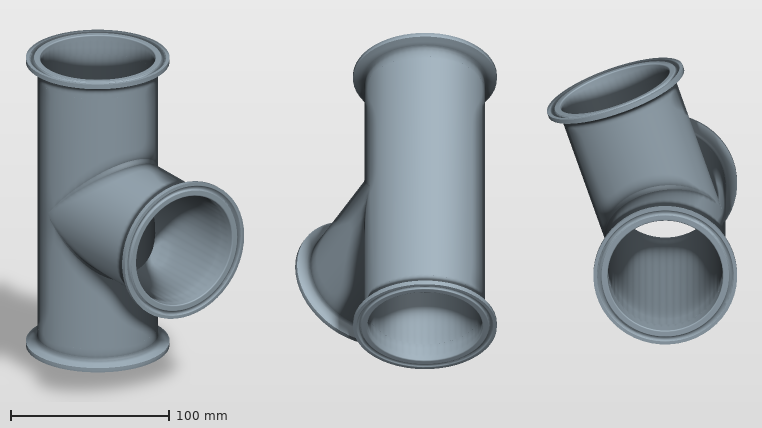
import cadquery as cq
import math

run_length = 196.8
flange_radius = 45.5
overall_width = 143.9
branch_reach = overall_width - flange_radius

tube_diameter = 76.2
tube_radius = tube_diameter / 2
bore_radius = 36.5

ferrule_length = 12.8
rim_thickness = 3.0
neck_start = 5.7
neck_fillet = 2.0
bore_edge_round = 0.8
groove_radius = 41.7
groove_width = 2.8
groove_depth = 1.4
groove_edge_round = 0.4

pick_margin = 0.1

weld_leg = 2.5


def cylinder_z(radius, bottom, top):
    """Solid cylinder on the Z axis."""
    return cq.Workplane("XY").workplane(offset=bottom).circle(radius).extrude(top - bottom)


def cylinder_x(radius, end):
    """Solid cylinder from the run axis along +X."""
    return cq.Workplane("YZ").circle(radius).extrude(end)


def make_weld_bevel():
    """Wedge around the 45 degree joint above the branch, capped by an elliptic cylinder.

    The cap touches the run and the branch where the wedge sides cut them, so
    the bevel tapers to nothing at the two sides of the tee.
    """
    far = tube_radius + weld_leg
    wedge = (
        cq.Workplane("XZ")
        .polyline([(0, 0), (tube_radius, far), (far, far), (far, tube_radius)])
        .close()
        .extrude(tube_radius, both=True)
    )
    cap_height = (tube_radius + far) / math.sqrt(2)
    joint_plane = cq.Plane(origin=(-far, 0, far), xDir=(-1, 0, -1), normal=(1, 0, -1))
    cap = cq.Workplane(joint_plane).ellipse(cap_height, tube_radius).extrude(4 * far)
    return wedge.intersect(cap)


def make_tee():
    """Run tube and branch tube as one hollow body, without the ferrules."""
    run_end = run_length / 2 - ferrule_length
    branch_end = branch_reach - ferrule_length
    weld = make_weld_bevel()
    outside = cylinder_z(tube_radius, -run_end, run_end).union(cylinder_x(tube_radius, branch_end))
    outside = outside.union(weld).union(weld.mirror("XY"))
    run_bore = cylinder_z(bore_radius, -run_end, run_end)
    return outside.cut(run_bore).cut(cylinder_x(bore_radius, branch_end))


def make_gasket_groove():
    """Ring to cut from the end face at Z = 0."""
    inner = groove_radius - groove_width / 2
    outer = groove_radius + groove_width / 2
    return (
        cq.Workplane("XZ")
        .moveTo(inner, 0)
        .threePointArc((groove_radius, -groove_depth), (outer, 0))
        .close()
        .revolve(360, (0, 0, 0), (0, 1, 0))
    )


def make_ferrule():
    """Clamp ferrule on the Z axis, with its end face at Z = 0 and its neck below."""
    blank = (
        cq.Workplane("XZ")
        .moveTo(bore_radius, 0)
        .lineTo(flange_radius, 0)
        .lineTo(flange_radius, -rim_thickness)
        .lineTo(tube_radius, -neck_start)
        .lineTo(tube_radius, -ferrule_length)
        .lineTo(bore_radius, -ferrule_length)
        .close()
        .revolve(360, (0, 0, 0), (0, 1, 0))
    )
    neck_corner = cq.selectors.BoxSelector(
        (-flange_radius, -flange_radius, -neck_start - pick_margin),
        (flange_radius, flange_radius, -neck_start + pick_margin),
    )
    blank = blank.edges(neck_corner).fillet(neck_fillet)
    blank = blank.faces(">Z").edges(cq.selectors.RadiusNthSelector(0)).fillet(bore_edge_round)
    grooved = blank.cut(make_gasket_groove())
    mouth_radii = (groove_radius - groove_width / 2, groove_radius + groove_width / 2)
    mouth_edges = [
        edge for edge in grooved.edges("%CIRCLE").vals()
        if any(math.isclose(edge.radius(), radius, abs_tol=pick_margin) for radius in mouth_radii)
    ]
    return grooved.newObject(mouth_edges).fillet(groove_edge_round)


tee = make_tee()

ferrule_seats = [
    ((0, 0, run_length / 2), (0, 0, 1)),
    ((0, 0, -run_length / 2), (0, 0, -1)),
    ((branch_reach, 0, 0), (1, 0, 0)),
]
ferrule = make_ferrule().val()
ferrules = []
for centre, outward in ferrule_seats:
    seat = cq.Plane(origin=centre, xDir=(0, 1, 0), normal=outward)
    ferrules.append(ferrule.moved(cq.Location(seat)))

result = cq.Compound.makeCompound([tee.val(), *ferrules])